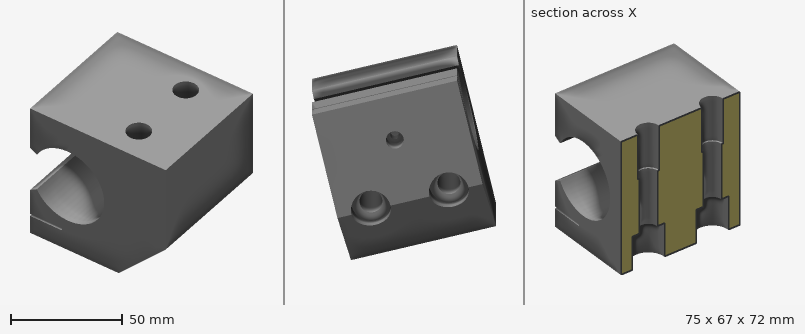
import cadquery as cq
import math

length = 75.0
width = 67.0
height = 72.0
corner_cut = 26.0

bore_diameter = 40.0
bore_x = 21.0
bore_z = 37.0
lip_angle = 30.0

slot_depth = 17.6
slot_bottom = 9.8
slot_height = 1.05

mount_x = 49.0
mount_spacing = 36.0
mount_diameter = 10.3
mount_top_diameter = 12.0
mount_top_depth = 24.0
mount_seat_diameter = 18.0
mount_seat_z = 18.0

screw_x = 20.0
screw_diameter = 4.0
screw_head_diameter = 8.0
screw_head_depth = 10.2


def vertical_cylinder(x, y, diameter, bottom, top):
    """Cylinder along Z between two heights."""
    base = cq.Workplane("XY", origin=(x, y, bottom))
    return base.circle(diameter / 2).extrude(top - bottom)


def block():
    """Rectangular block with the lower far corner cut off at 45 degrees."""
    body = cq.Workplane("XY").box(length, width, height, centered=(False, True, False))
    return body.edges(">X and <Z").chamfer(corner_cut)


def socket():
    """Round socket joined to a mouth that widens towards the open side."""
    mouth_half_height = bore_x * math.tan(math.radians(lip_angle))
    plane = cq.Workplane("XZ", origin=(0, width / 2, 0))
    bore = plane.center(bore_x, bore_z).circle(bore_diameter / 2).extrude(width)
    mouth = (
        plane.moveTo(bore_x, bore_z)
        .lineTo(0, bore_z + mouth_half_height)
        .lineTo(0, bore_z - mouth_half_height)
        .close()
        .extrude(width)
    )
    return bore.union(mouth)


def clamping_slot():
    """Thin horizontal slot across the full width."""
    slot = cq.Workplane("XY").box(slot_depth, width, slot_height, centered=(False, True, False))
    return slot.translate((0, 0, slot_bottom))


def mounting_hole(y):
    """Through hole with a wider upper part and a seat that opens through the cut corner."""
    through = vertical_cylinder(mount_x, y, mount_diameter, 0, height)
    upper = vertical_cylinder(mount_x, y, mount_top_diameter, height - mount_top_depth, height)
    seat = vertical_cylinder(mount_x, y, mount_seat_diameter, 0, mount_seat_z)
    return through.union(upper).union(seat)


def screw_hole():
    """Stepped hole from the base that breaks into the socket floor."""
    shank = vertical_cylinder(screw_x, 0, screw_diameter, 0, bore_z)
    head = vertical_cylinder(screw_x, 0, screw_head_diameter, 0, screw_head_depth)
    return shank.union(head)


result = block().cut(socket()).cut(clamping_slot()).cut(screw_hole())
for side in (-1, 1):
    result = result.cut(mounting_hole(side * mount_spacing / 2))